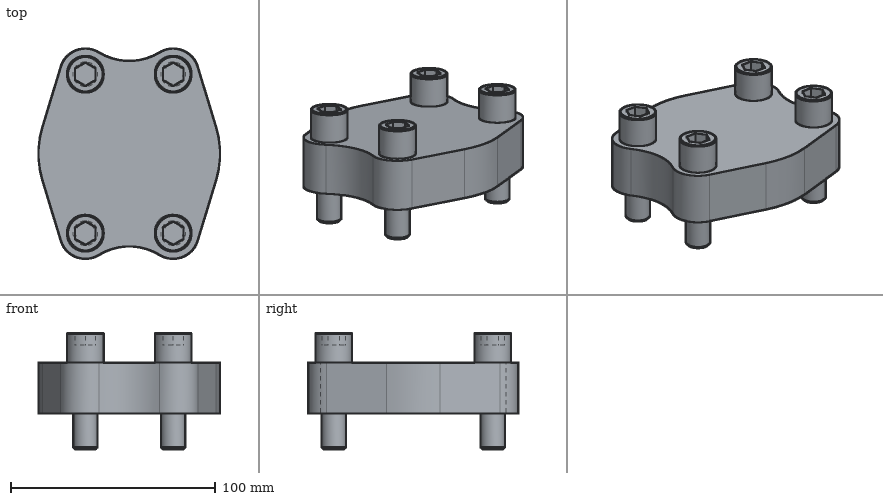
import cadquery as cq
import math

plate_thickness = 25.0
plate_length = 103.0
side_radius = 44.5
waist_radius = 28.37
bolt_spacing_x = 42.9
bolt_spacing_y = 77.7

head_diameter = 18.0
head_height = 14.5
head_chamfer = 0.5
shank_diameter = 12.0
shank_projection = 17.5
shank_chamfer = 1.2
socket_across_flats = 10.0
socket_depth = 6.0

bolt_x = bolt_spacing_x / 2
bolt_y = bolt_spacing_y / 2
corner_radius = plate_length / 2 - bolt_y


def make_plate():
    """Plate whose outline is a chain of tangent arcs and straight flanks."""
    centre_distance = waist_radius + corner_radius
    waist_centre_y = bolt_y + math.sqrt(centre_distance**2 - bolt_x**2)
    waist_bottom_y = waist_centre_y - waist_radius
    waist_x = bolt_x * waist_radius / centre_distance
    waist_y = waist_centre_y - (waist_centre_y - bolt_y) * waist_radius / centre_distance

    flank_angle = math.atan2(bolt_y, bolt_x) - math.acos(
        (side_radius - corner_radius) / math.hypot(bolt_x, bolt_y)
    )
    normal_x = math.cos(flank_angle)
    normal_y = math.sin(flank_angle)
    side_x = side_radius * normal_x
    side_y = side_radius * normal_y
    corner_x = bolt_x + corner_radius * normal_x
    corner_y = bolt_y + corner_radius * normal_y
    tip_y = plate_length / 2

    return (
        cq.Workplane("XY")
        .moveTo(side_x, -side_y)
        .threePointArc((side_radius, 0), (side_x, side_y))
        .lineTo(corner_x, corner_y)
        .threePointArc((bolt_x, tip_y), (waist_x, waist_y))
        .threePointArc((0, waist_bottom_y), (-waist_x, waist_y))
        .threePointArc((-bolt_x, tip_y), (-corner_x, corner_y))
        .lineTo(-side_x, side_y)
        .threePointArc((-side_radius, 0), (-side_x, -side_y))
        .lineTo(-corner_x, -corner_y)
        .threePointArc((-bolt_x, -tip_y), (-waist_x, -waist_y))
        .threePointArc((0, -waist_bottom_y), (waist_x, -waist_y))
        .threePointArc((bolt_x, -tip_y), (corner_x, -corner_y))
        .close()
        .extrude(plate_thickness)
    )


def make_bolt():
    """Socket head bolt on the Z axis, with its head seated on the plate top."""
    head = (
        cq.Workplane("XY", origin=(0, 0, plate_thickness))
        .circle(head_diameter / 2)
        .extrude(head_height)
        .faces(">Z")
        .chamfer(head_chamfer)
    )
    shank = (
        cq.Workplane("XY", origin=(0, 0, -shank_projection))
        .circle(shank_diameter / 2)
        .extrude(shank_projection + plate_thickness)
        .faces("<Z")
        .chamfer(shank_chamfer)
    )
    across_corners = socket_across_flats / math.cos(math.pi / 6)
    socket = (
        cq.Workplane("XY", origin=(0, 0, plate_thickness + head_height))
        .transformed(rotate=(0, 0, 90))
        .polygon(6, across_corners)
        .extrude(-socket_depth)
    )
    return head.union(shank).cut(socket)


result = make_plate()
bolt = make_bolt()
for x in (-bolt_x, bolt_x):
    for y in (-bolt_y, bolt_y):
        result = result.union(bolt.translate((x, y, 0)))